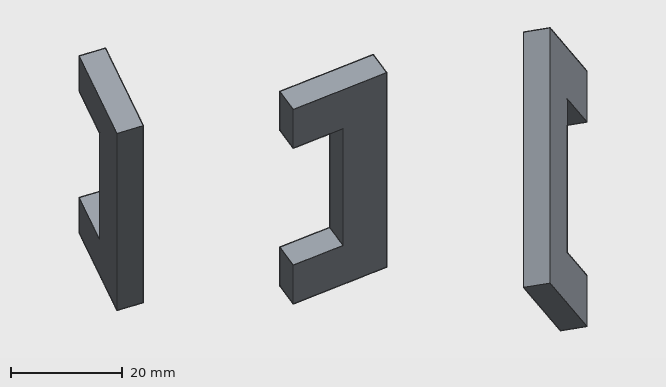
import cadquery as cq

width = 19.05
thickness = 5.08
height = 50.8

arm_height = 10.16
notch_depth = 10.16
notch_height = height - 2 * arm_height


def make_body():
    """Rectangular plate centred on the origin."""
    return cq.Workplane("XY").box(width, thickness, height)


def make_notch():
    """Block that opens the gap between the arms on the -X side."""
    notch_center_x = (notch_depth - width) / 2
    return (
        cq.Workplane("XY")
        .box(notch_depth, thickness, notch_height)
        .translate((notch_center_x, 0, 0))
    )


result = make_body().cut(make_notch())